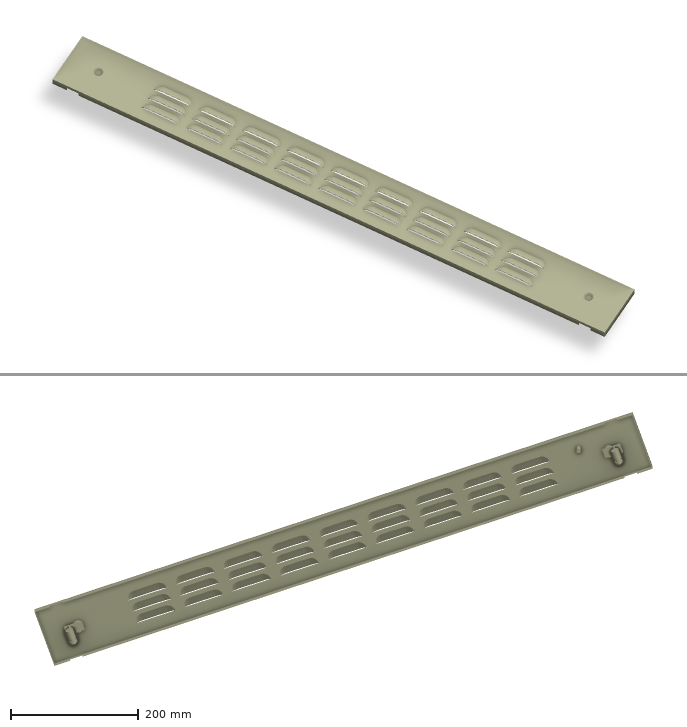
import cadquery as cq
import math

length = 995.0
width = 96.0
flange_height = 12.0
sheet = 1.0

notch_start = 26.0
notch_end = 47.0
notch_roof = 6.0

louver_columns = 9
louver_rows = 3
louver_pitch_x = 80.0
louver_pitch_y = 20.0
louver_shift_x = 3.0
louver_straight = 39.0
louver_depth = 14.0
louver_height = 5.0

overall_height = 44.0
catch_bottom = louver_height - overall_height
screw_inset = 56.0
screw_diameter = 16.0
screw_boss_diameter = 18.0
socket_diameter = 9.0
socket_depth = 3.0
leaf_width = 15.0
leaf_outer_inset = 35.0
leaf_inner_inset = screw_inset + screw_boss_diameter / 2
leaf_top = -7.0
leaf_thickness = 2.0
stem_inset = 45.0
grip_inset = 44.0
grip_width = 12.0
grip_height = 17.0
neck_width = 9.0
neck_height = 13.0
neck_length = 4.0
head_thickness = 3.0
cap_width = 6.0
cap_height = 10.0
cap_thickness = 2.0

stud_inset = 99.5
stud_y = 20.0
stud_diameter = 7.0
stud_length = 17.0


def block(x_range, y_range, z_range):
    """Box between the given limits."""
    size = [high - low for low, high in (x_range, y_range, z_range)]
    corner = (x_range[0], y_range[0], z_range[0])
    return cq.Workplane("XY").box(*size, centered=False).translate(corner)


def tray():
    """Folded sheet with flanges on all four sides and notches in the long ones."""
    outer = cq.Workplane("XY").box(length, width, flange_height, centered=(True, True, False))
    shell = outer.translate((0, 0, -flange_height)).faces("<Z").shell(-sheet)
    for side in (-1, 1):
        notch_x = sorted((side * (length / 2 - notch_start), side * (length / 2 - notch_end)))
        shell = shell.cut(block(notch_x, (-width / 2, width / 2), (-flange_height, -notch_roof)))
    return shell


def hood(depth, height, bottom):
    """Straight hood with quarter-round ends; the front lies in the plane Y = 0."""
    arc_radius = (depth**2 + height**2) / (2 * height)
    half_angle = math.asin(depth / arc_radius) / 2
    arc_middle = (arc_radius * math.sin(half_angle), height - arc_radius * (1 - math.cos(half_angle)))

    def profile(plane):
        outline = cq.Workplane(plane).moveTo(0, bottom).lineTo(0, height)
        return outline.threePointArc(arc_middle, (depth, 0)).lineTo(depth, bottom).close()

    half_straight = louver_straight / 2
    middle = profile("YZ").extrude(half_straight, both=True)
    right_end = profile("XZ").revolve(90, (0, 0), (0, 1)).translate((half_straight, 0, 0))
    return middle.union(right_end).union(right_end.mirror("YZ"))


def at_every_louver(shape):
    """Copies of a hood, its front edge centred at each louver position."""
    copies = []
    for column in range(louver_columns):
        x = louver_shift_x + (column - (louver_columns - 1) / 2) * louver_pitch_x
        for row in range(louver_rows):
            y = (row - (louver_rows - 1) / 2) * louver_pitch_y - louver_depth / 2
            copies.append(shape.translate((x, y, 0)).val())
    return cq.Workplane(cq.Compound.makeCompound(copies))


def add_louvers(body):
    """Press every louver out of the sheet and open it underneath."""
    outside = hood(louver_depth, louver_height, -sheet)
    inside = hood(louver_depth - sheet, louver_height - sheet, -sheet)
    return body.union(at_every_louver(outside)).cut(at_every_louver(inside))


def oval(wide, tall, y_front, thickness):
    """Oval slab at the foot of the left catch, running from y_front toward +Y."""
    centre = (grip_inset - length / 2, y_front + thickness, catch_bottom + grip_height / 2)
    return cq.Workplane("XZ", origin=centre).ellipse(wide / 2, tall / 2).extrude(thickness)


def catch():
    """Catch at the -X end: screw boss, bent leaf and oval grip with a knob in front."""
    end_x = -length / 2
    leaf_y = (-leaf_width / 2, leaf_width / 2)
    leaf_bottom = leaf_top - leaf_thickness
    boss = cq.Workplane("XY", origin=(end_x + screw_inset, 0, leaf_bottom))
    boss = boss.circle(screw_boss_diameter / 2).extrude(-leaf_bottom)
    leaf = block((end_x + leaf_outer_inset, end_x + leaf_inner_inset), leaf_y, (leaf_bottom, leaf_top))
    stem_x = (end_x + stem_inset - leaf_thickness / 2, end_x + stem_inset + leaf_thickness / 2)
    stem = block(stem_x, leaf_y, (catch_bottom + grip_height / 2, leaf_top))

    neck_front = -leaf_width / 2 - neck_length
    head_front = neck_front - head_thickness
    grip = oval(grip_width, grip_height, -leaf_width / 2, leaf_width)
    neck = oval(neck_width, neck_height, neck_front, neck_length)
    head = oval(grip_width, grip_height, head_front, head_thickness)
    cap = oval(cap_width, cap_height, head_front - cap_thickness, cap_thickness)

    body = boss
    for piece in (leaf, stem, grip, neck, head, cap):
        body = body.union(piece)
    return body


def screw_recess():
    """Conical recess in the top of the -X screw."""
    recess = cq.Workplane("XY", origin=(screw_inset - length / 2, 0, 0)).circle(screw_diameter / 2)
    return recess.workplane(offset=-socket_depth).circle(socket_diameter / 2).loft()


def stud():
    """Short round stud under the sheet."""
    base = cq.Workplane("XY", origin=(stud_inset - length / 2, stud_y, -stud_length))
    return base.circle(stud_diameter / 2).extrude(stud_length)


result = add_louvers(tray())
left_catch = catch()
left_recess = screw_recess()
result = result.union(left_catch).union(left_catch.mirror("YZ"))
result = result.cut(left_recess).cut(left_recess.mirror("YZ"))
result = result.union(stud())